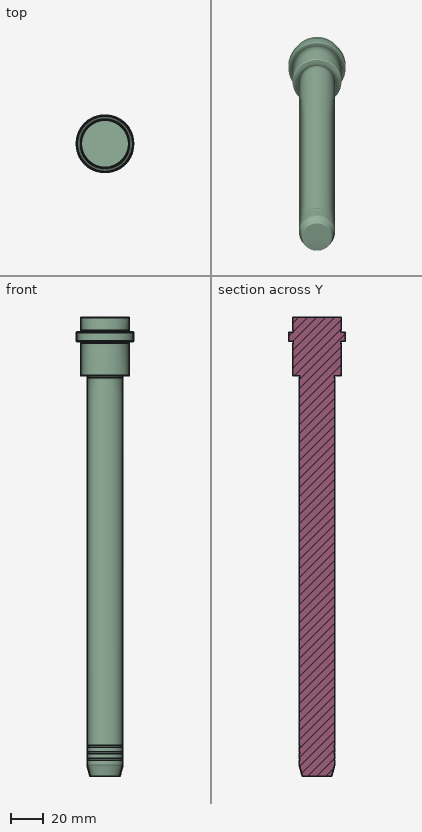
import cadquery as cq
import math

total_length = 281.0
shaft_diameter = 22.0

head_diameter = 30.0
head_length = 36.0
collar_diameter = 35.0
collar_height = 6.0
collar_top_drop = 9.0
edge_chamfer = 0.5

relief_width = 1.0
relief_depth = 0.25

lead_in_length = 7.0
lead_in_angle = 15.0
tip_chamfer = 0.2

groove_count = 3
groove_width = 1.0
groove_depth = 0.25
groove_pitch = 4.0
first_groove_height = 10.5


def cylinder(diameter, bottom, height):
    return cq.Workplane("XY").workplane(offset=bottom).circle(diameter / 2).extrude(height)


def ring_cutter(diameter, depth, bottom, width):
    """Ring that cuts a groove of the given depth into a cylinder."""
    outer = cylinder(diameter + 2 * depth, bottom, width)
    return outer.cut(cylinder(diameter - 2 * depth, bottom, width))


def make_shaft():
    """Straight shaft with a tapered, chamfered tip, necked below the head."""
    shaft_radius = shaft_diameter / 2
    taper_height = lead_in_length - tip_chamfer
    tip_radius = shaft_radius - taper_height * math.tan(math.radians(lead_in_angle))
    profile = (
        cq.Workplane("XZ")
        .lineTo(tip_radius - tip_chamfer, 0)
        .lineTo(tip_radius, tip_chamfer)
        .lineTo(shaft_radius, lead_in_length)
        .lineTo(shaft_radius, total_length)
        .lineTo(0, total_length)
        .close()
    )
    shaft = profile.revolve(360, (0, 0), (0, 1))
    relief_bottom = total_length - head_length - relief_width
    return shaft.cut(ring_cutter(shaft_diameter, relief_depth, relief_bottom, relief_width))


def make_head():
    """Chamfered locating cylinder and collar, with a relief groove on each side of the collar."""
    collar_top = total_length - collar_top_drop
    collar_bottom = collar_top - collar_height
    head = cylinder(head_diameter, total_length - head_length, head_length)
    head = head.edges("%CIRCLE").chamfer(edge_chamfer)
    for relief_bottom in (collar_top, collar_bottom - relief_width):
        head = head.cut(ring_cutter(head_diameter, relief_depth, relief_bottom, relief_width))
    collar = cylinder(collar_diameter, collar_bottom, collar_height)
    return head.union(collar.edges("%CIRCLE").chamfer(edge_chamfer))


def cut_oil_grooves(body):
    for index in range(groove_count):
        middle = first_groove_height + index * groove_pitch
        bottom = middle - groove_width / 2
        body = body.cut(ring_cutter(shaft_diameter, groove_depth, bottom, groove_width))
    return body


result = cut_oil_grooves(make_shaft()).union(make_head())